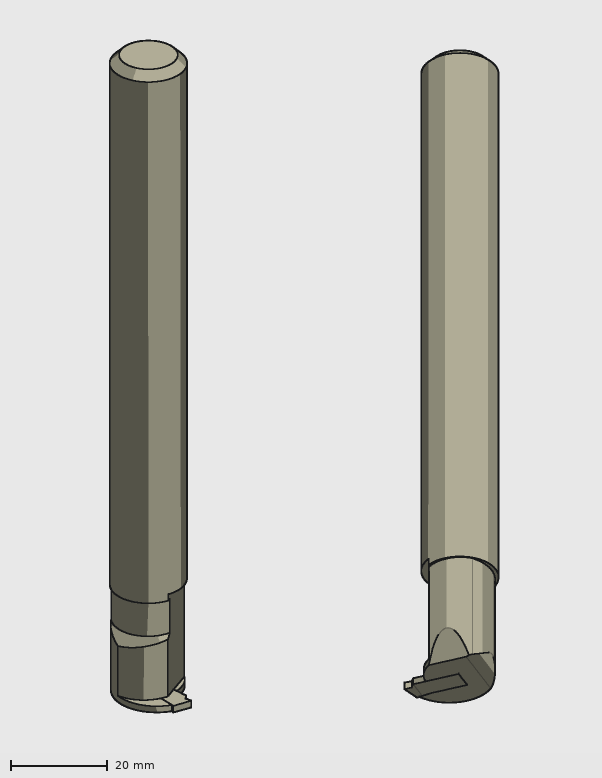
import cadquery as cq

total_length = 150.0
total_width = 20.5
total_depth = 17.5
shank_diameter = 16.0
shank_radius = shank_diameter / 2
shank_bottom = 24.3
end_chamfer = 2.0

neck_radius = 7.7
neck_center_x = -0.2
head_radius = total_depth - shank_radius
head_center_x = 2.4
relief_radius = 8.7
relief_center = (-0.8, -0.6)
shoulder_top = 16.2
shoulder_bottom = 13.7
shoulder_width = 1.5

chip_flat_edge = (7.8, -2.3)
chip_flat_angle = 22.0
chip_flat_top = 25.8

foot_bottom = 0.2
foot_top = 1.7
heel_height = 5.0
heel_length = 3.2
heel_mid_inset = 0.9
heel_mid_height = 1.7
back_relief_height = 7.4
back_relief_depth = 1.5

insert_inner_x = 0.0
insert_back_y = 0.68
insert_front_y = -3.9
insert_tip = (total_width - shank_radius, -0.2)
insert_nose_corner = (11.4, -4.4)
insert_shoulder_x = 10.2
insert_notch = (11.0, -0.3)

margin = 7.5
head_left = head_center_x - head_radius


def disc(x, y, radius, bottom, top):
    """Upright cylinder between two heights."""
    return cq.Workplane("XY", origin=(x, y, bottom)).circle(radius).extrude(top - bottom)


def front_half(back_y, bottom, top):
    """Large block that lies in front of a given Y."""
    size = 4 * head_radius
    return cq.Workplane("XY", origin=(0, back_y - size / 2, bottom)).box(
        size, size, top - bottom, centered=(True, True, False)
    )


def make_shank():
    """Round shank with a chamfered upper end."""
    return disc(0, 0, shank_radius, shank_bottom, total_length).faces(">Z").chamfer(end_chamfer)


def make_shouldered_front():
    """Wider front half of the head, under a conical shoulder."""
    front = disc(*relief_center, relief_radius, foot_bottom, shoulder_top)
    front = front.intersect(front_half(0, foot_bottom, shoulder_top))
    slope = (shoulder_top - shoulder_bottom) / shoulder_width
    outer_radius = neck_radius + margin
    shoulder = (
        cq.Workplane("XZ")
        .moveTo(0, shoulder_top)
        .lineTo(neck_radius, shoulder_top)
        .lineTo(outer_radius, shoulder_top - slope * margin)
        .lineTo(outer_radius, foot_bottom)
        .lineTo(0, foot_bottom)
        .close()
        .revolve(360, (0, 0, 0), (0, 1, 0))
    )
    return front.intersect(shoulder.translate((neck_center_x, 0, 0)))


def make_head():
    """Neck, shouldered front and foot plate, all trimmed by one eccentric head cylinder."""
    neck = disc(neck_center_x, 0, neck_radius, foot_bottom, shank_bottom)
    foot = front_half(insert_notch[1], foot_bottom, foot_top)
    blank = neck.union(make_shouldered_front()).union(foot)
    return blank.intersect(disc(head_center_x, 0, head_radius, foot_bottom, shank_bottom))


def make_chip_cutter():
    """Slanted upright block that leaves a chip flat above the foot, running into the shank."""
    size = 4 * head_radius
    block = cq.Workplane("XY").box(size, size, chip_flat_top - foot_top, centered=(False, True, False))
    block = block.rotate((0, 0, 0), (0, 0, 1), chip_flat_angle)
    return block.translate((chip_flat_edge[0], chip_flat_edge[1], foot_top))


def make_heel_cutter():
    """Bar that rounds the lower edge opposite the insert."""
    return (
        cq.Workplane("XZ", origin=(0, 2 * head_radius, 0))
        .moveTo(head_left - margin, foot_bottom)
        .lineTo(head_left + heel_length, foot_bottom)
        .threePointArc((head_left + heel_mid_inset, heel_mid_height), (head_left, heel_height))
        .lineTo(head_left - margin, heel_height)
        .close()
        .extrude(4 * head_radius)
    )


def make_back_cutter():
    """Wedge that tapers the back of the head toward its lower end."""
    return (
        cq.Workplane("YZ", origin=(-2 * head_radius, 0, 0))
        .moveTo(neck_radius - back_relief_depth, foot_bottom)
        .lineTo(neck_radius, back_relief_height)
        .lineTo(neck_radius + margin, back_relief_height)
        .lineTo(neck_radius + margin, foot_bottom)
        .close()
        .extrude(4 * head_radius)
    )


def make_insert():
    """Flat cutting insert with a pointed tip that dips slightly below the foot."""
    outline = [
        (insert_inner_x, insert_back_y),
        (insert_shoulder_x, insert_back_y),
        insert_notch,
        insert_tip,
        insert_nose_corner,
        (shank_radius, insert_front_y),
        (insert_inner_x, insert_front_y),
    ]
    blank = cq.Workplane("XY").polyline(outline).close().extrude(foot_top)
    side_profile = [
        (insert_inner_x, foot_bottom),
        (insert_shoulder_x, foot_bottom),
        (insert_tip[0], 0),
        (insert_tip[0], foot_top),
        (insert_inner_x, foot_top),
    ]
    side = cq.Workplane("XZ").polyline(side_profile).close().extrude(head_radius, both=True)
    return blank.intersect(side)


insert = make_insert()
bar = make_shank().union(make_head())
bar = bar.cut(make_chip_cutter()).cut(make_heel_cutter()).cut(make_back_cutter()).cut(insert)

result = cq.Compound.makeCompound([bar.solids().val(), insert.solids().val()])